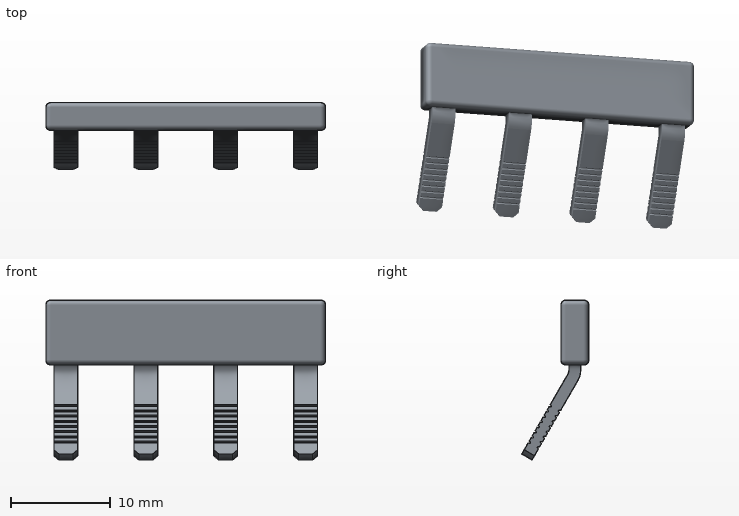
import cadquery as cq
import math

HOUSING_LENGTH = 28.0
HOUSING_DEPTH = 2.8
HOUSING_HEIGHT = 6.5
HOUSING_EDGE_RADIUS = 0.5

OVERALL_DEPTH = 6.72
OVERALL_HEIGHT = 16.0

LEG_COUNT = 4
LEG_PITCH = 8.0
LEG_WIDTH = 2.4
LEG_THICKNESS = 1.2
BEND_INNER_RADIUS = 1.0
BEND_ANGLE = math.radians(30)
TIP_CHAMFER = 0.5

GROOVE_COUNT = 8
GROOVE_PITCH = 0.6
GROOVE_MOUTH_WIDTH = 0.2
GROOVE_FLOOR_WIDTH = 0.09
GROOVE_DEPTH = 0.173
LAST_GROOVE_TO_TIP = 1.4

HALF_THICKNESS = LEG_THICKNESS / 2
BEND_OUTER_RADIUS = BEND_INNER_RADIUS + LEG_THICKNESS
BEND_CENTRE_Y = -HALF_THICKNESS - BEND_INNER_RADIUS
TIP_FRONT_Y = HOUSING_DEPTH / 2 - OVERALL_DEPTH
TIP_LOWEST_Z = HOUSING_HEIGHT - OVERALL_HEIGHT
BEND_END_FRONT_Y = BEND_CENTRE_Y + BEND_INNER_RADIUS * math.cos(BEND_ANGLE)
SLOPE_LENGTH = (BEND_END_FRONT_Y - TIP_FRONT_Y) / math.sin(BEND_ANGLE)
BEND_START_Z = (
    TIP_LOWEST_Z + SLOPE_LENGTH * math.cos(BEND_ANGLE) + BEND_OUTER_RADIUS * math.sin(BEND_ANGLE)
)


def bend_point(radius, angle):
    """Point (y, z) on the bend at a radius and an angle turned from vertical."""
    return (
        BEND_CENTRE_Y + radius * math.cos(angle),
        BEND_START_Z - radius * math.sin(angle),
    )


def slope_point(radius, distance):
    """Point (y, z) on the sloped part, a distance beyond the end of the bend."""
    y, z = bend_point(radius, BEND_ANGLE)
    return (y - distance * math.sin(BEND_ANGLE), z - distance * math.cos(BEND_ANGLE))


def make_housing():
    return (
        cq.Workplane("XY")
        .box(HOUSING_LENGTH, HOUSING_DEPTH, HOUSING_HEIGHT, centered=(True, True, False))
        .edges()
        .fillet(HOUSING_EDGE_RADIUS)
    )


def make_leg_strip():
    """Bent strip, centred on X = 0 and reaching into the housing's edge radius."""
    return (
        cq.Workplane("YZ")
        .moveTo(-HALF_THICKNESS, HOUSING_EDGE_RADIUS)
        .lineTo(*bend_point(BEND_INNER_RADIUS, 0))
        .threePointArc(
            bend_point(BEND_INNER_RADIUS, BEND_ANGLE / 2),
            bend_point(BEND_INNER_RADIUS, BEND_ANGLE),
        )
        .lineTo(*slope_point(BEND_INNER_RADIUS, SLOPE_LENGTH))
        .lineTo(*slope_point(BEND_OUTER_RADIUS, SLOPE_LENGTH))
        .lineTo(*bend_point(BEND_OUTER_RADIUS, BEND_ANGLE))
        .threePointArc(
            bend_point(BEND_OUTER_RADIUS, BEND_ANGLE / 2),
            bend_point(BEND_OUTER_RADIUS, 0),
        )
        .lineTo(HALF_THICKNESS, HOUSING_EDGE_RADIUS)
        .close()
        .extrude(LEG_WIDTH / 2, both=True)
    )


def chamfer_tip(leg):
    """Cut the two corners of the tip, through the leg's thickness."""
    return leg.faces("<Z").edges("not |X").chamfer(TIP_CHAMFER)


def make_groove_cutter(face_radius, floor_radius, distance):
    """Trapezoidal bar across the leg, narrowing from the broad face to the groove floor."""
    half_mouth = GROOVE_MOUTH_WIDTH / 2
    half_floor = GROOVE_FLOOR_WIDTH / 2
    return (
        cq.Workplane("YZ")
        .polyline(
            [
                slope_point(face_radius, distance - half_mouth),
                slope_point(floor_radius, distance - half_floor),
                slope_point(floor_radius, distance + half_floor),
                slope_point(face_radius, distance + half_mouth),
            ]
        )
        .close()
        .extrude(LEG_WIDTH, both=True)
    )


def cut_grooves(leg):
    front_floor_radius = BEND_INNER_RADIUS + GROOVE_DEPTH
    back_floor_radius = BEND_OUTER_RADIUS - GROOVE_DEPTH
    for index in range(GROOVE_COUNT):
        distance = SLOPE_LENGTH - LAST_GROOVE_TO_TIP - index * GROOVE_PITCH
        leg = leg.cut(make_groove_cutter(BEND_INNER_RADIUS, front_floor_radius, distance))
        leg = leg.cut(make_groove_cutter(BEND_OUTER_RADIUS, back_floor_radius, distance))
    return leg


def make_leg():
    return cut_grooves(chamfer_tip(make_leg_strip()))


def assemble():
    part = make_housing()
    leg = make_leg()
    first_leg_x = -LEG_PITCH * (LEG_COUNT - 1) / 2
    for index in range(LEG_COUNT):
        part = part.union(leg.translate((first_leg_x + index * LEG_PITCH, 0, 0)))
    return part


result = assemble()